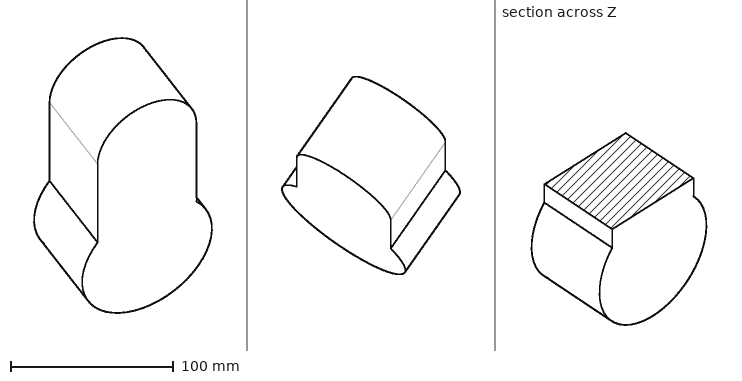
import cadquery as cq

height = 180.8
thickness = 60.0
disc_diameter = 91.9
arm_width = 70.0

disc_radius = disc_diameter / 2
arm_radius = arm_width / 2
arm_round_z = height - disc_radius - arm_radius


def cylinder(radius, center_z):
    """Cylinder along X, spanning the full thickness."""
    return cq.Workplane("YZ").center(0, center_z).circle(radius).extrude(thickness)


arm = (
    cq.Workplane("YZ")
    .center(0, arm_round_z / 2)
    .rect(arm_width, arm_round_z)
    .extrude(thickness)
)

disc = cylinder(disc_radius, 0)
arm_end = cylinder(arm_radius, arm_round_z)

result = disc.union(arm).union(arm_end)